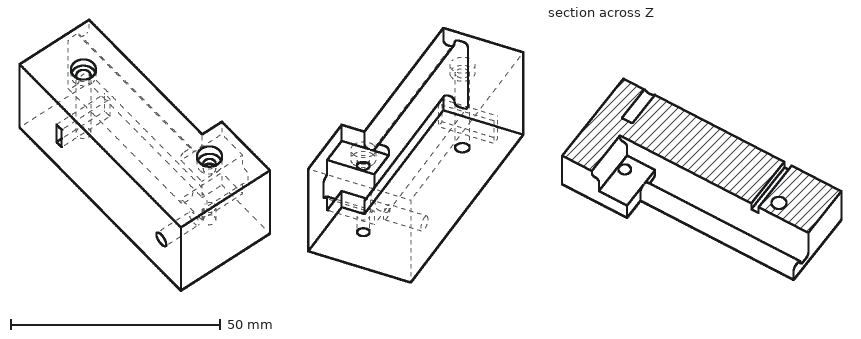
import cadquery as cq

LENGTH = 62.0
DEPTH = 27.25
HEIGHT = 25.5
BODY_DEPTH = 21.25
BLOCK_START = 43.5

CHANNEL_FLOOR = 14.75
MOUTH_HALF_HEIGHT = 7.75
POCKET_HALF_HEIGHT = 10.25
LIP_WIDTH = 3.0
LIP_RADIUS = 1.25
POCKET_RADIUS = 1.1

RECESS_LENGTH = 8.0
RELIEF_LENGTH = 2.0
RELIEF_HALF_HEIGHT = 3.0
RELIEF_RADIUS = RELIEF_LENGTH / 2

COUNTERBORE_DIAMETER = 6.0
BODY_SCREW = {"x": 10.75, "y": 11.0, "diameter": 3.5, "counterbore_depth": 2.5}
BLOCK_SCREW = {"x": 49.75, "y": 18.5, "diameter": 3.0, "counterbore_depth": 3.0}

SLOT_X = 15.2
SLOT_WIDTH = 2.0
SLOT_HEIGHT = 7.0
PIN_X = 54.5
PIN_DIAMETER = 3.8
PIN_DEPTH = 10.0


def box(x_start, x_end, y_start, y_end, half_height):
    """Box centred on Z = 0 between the given X and Y limits."""
    return (
        cq.Workplane("XY")
        .box(x_end - x_start, y_end - y_start, 2 * half_height, centered=(False, False, True))
        .translate((x_start, y_start, 0))
    )


def make_body():
    long_stretch = box(0, LENGTH, 0, BODY_DEPTH, HEIGHT / 2)
    end_block = box(BLOCK_START, LENGTH, 0, DEPTH, HEIGHT / 2)
    return long_stretch.union(end_block)


def make_lip(side):
    """Rounded lip at the channel mouth; side is 1 for the top and -1 for the bottom."""
    lip_height = POCKET_HALF_HEIGHT - MOUTH_HALF_HEIGHT
    lip = (
        box(0, BLOCK_START, BODY_DEPTH - LIP_WIDTH, BODY_DEPTH, lip_height / 2)
        .edges("|X")
        .edges("<Z" if side > 0 else ">Z")
        .fillet(LIP_RADIUS)
    )
    return lip.translate((0, 0, side * (MOUTH_HALF_HEIGHT + lip_height / 2)))


def make_channel():
    """Hooked channel: a pocket with rounded corners that opens between two lips."""
    pocket = (
        box(0, BLOCK_START, CHANNEL_FLOOR, BODY_DEPTH - LIP_WIDTH, POCKET_HALF_HEIGHT)
        .edges("|X")
        .fillet(POCKET_RADIUS)
    )
    mouth = box(0, BLOCK_START, BODY_DEPTH - LIP_WIDTH, BODY_DEPTH, POCKET_HALF_HEIGHT)
    mouth = mouth.cut(make_lip(1)).cut(make_lip(-1))
    return pocket.union(mouth)


def make_recess():
    """Recess open to the channel and the back, with an S-curved step down to its relief."""
    recess_end = BLOCK_START + RECESS_LENGTH
    relief_end = recess_end + RELIEF_LENGTH
    radius = RELIEF_RADIUS
    return (
        cq.Workplane("XZ")
        .moveTo(BLOCK_START, -MOUTH_HALF_HEIGHT)
        .lineTo(recess_end, -MOUTH_HALF_HEIGHT)
        .lineTo(recess_end, -RELIEF_HALF_HEIGHT - radius)
        .tangentArcPoint((radius, radius))
        .tangentArcPoint((radius, radius))
        .lineTo(relief_end, RELIEF_HALF_HEIGHT - radius)
        .tangentArcPoint((-radius, radius))
        .tangentArcPoint((-radius, radius))
        .lineTo(recess_end, MOUTH_HALF_HEIGHT)
        .lineTo(BLOCK_START, MOUTH_HALF_HEIGHT)
        .close()
        .extrude(-(DEPTH - CHANNEL_FLOOR))
        .translate((0, CHANNEL_FLOOR, 0))
    )


def make_screw_hole(x, y, diameter, counterbore_depth):
    hole = cq.Workplane("XY", origin=(x, y, 0)).circle(diameter / 2).extrude(HEIGHT / 2, both=True)
    counterbore = (
        cq.Workplane("XY", origin=(x, y, HEIGHT / 2))
        .circle(COUNTERBORE_DIAMETER / 2)
        .extrude(-counterbore_depth)
    )
    return hole.union(counterbore)


def make_slot():
    """Upright slot from the front face through to the channel floor."""
    return box(SLOT_X - SLOT_WIDTH / 2, SLOT_X + SLOT_WIDTH / 2, 0, CHANNEL_FLOOR, SLOT_HEIGHT / 2)


def make_pin_hole():
    return cq.Workplane("XZ", origin=(PIN_X, 0, 0)).circle(PIN_DIAMETER / 2).extrude(-PIN_DEPTH)


result = (
    make_body()
    .cut(make_channel())
    .cut(make_recess())
    .cut(make_screw_hole(**BODY_SCREW))
    .cut(make_screw_hole(**BLOCK_SCREW))
    .cut(make_slot())
    .cut(make_pin_hole())
)